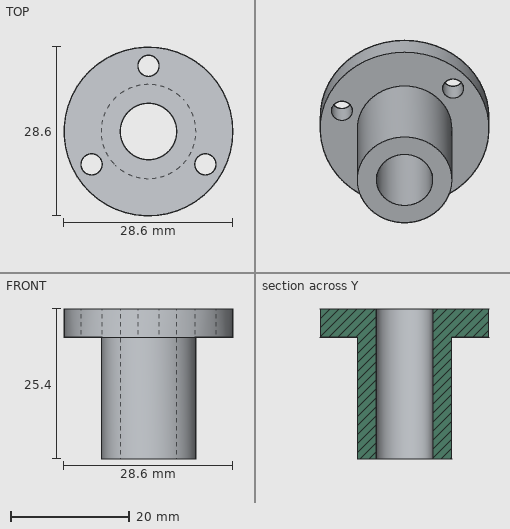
import cadquery as cq

flange_diameter = 28.57
flange_thickness = 4.83
barrel_diameter = 16.0
total_height = 25.4
bore_diameter = 9.5
bolt_hole_diameter = 3.55
bolt_circle_diameter = 22.23
bolt_hole_count = 3
first_bolt_angle = 90

barrel = cq.Workplane("XY").circle(barrel_diameter / 2).extrude(total_height)
flange = (
    cq.Workplane("XY", origin=(0, 0, total_height - flange_thickness))
    .circle(flange_diameter / 2)
    .extrude(flange_thickness)
)

bore = cq.Workplane("XY").circle(bore_diameter / 2).extrude(total_height)

bolt_holes = (
    cq.Workplane("XY", origin=(0, 0, total_height - flange_thickness))
    .polarArray(bolt_circle_diameter / 2, first_bolt_angle, 360, bolt_hole_count)
    .circle(bolt_hole_diameter / 2)
    .extrude(flange_thickness)
)

result = barrel.union(flange).cut(bore).cut(bolt_holes)